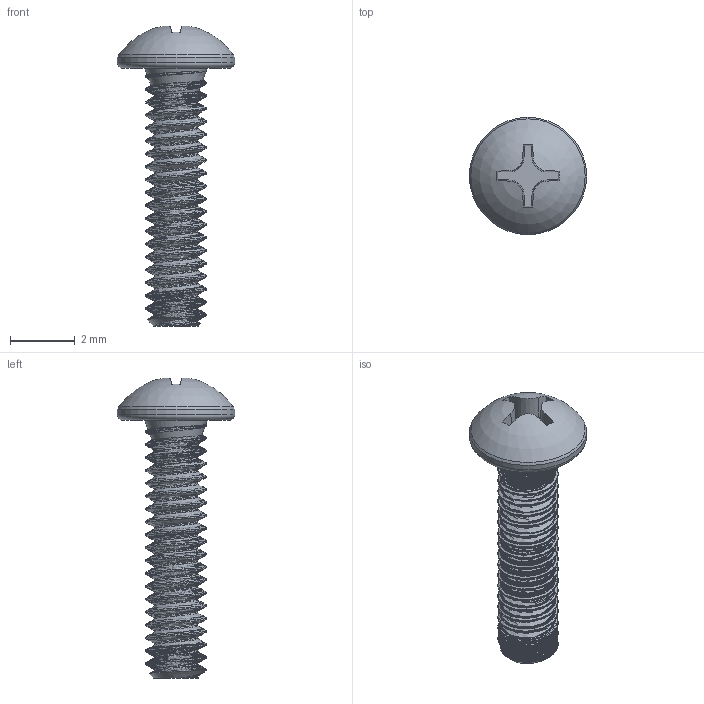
import cadquery as cq
import math


shank_length = 7.9375
major_radius = 0.927
thread_pitch = 25.4 / 64
flank_half_angle = math.radians(30)
crest_flat = thread_pitch / 8
root_flat = thread_pitch / 8
thread_depth = (thread_pitch - crest_flat - root_flat) / 2 / math.tan(flank_half_angle)
root_radius = major_radius - thread_depth
tip_radius = 0.69
crest_height_above_tip = 0.342
flank_points = 8
tip_z = -shank_length

neck_top_radius = 0.965
neck_length = 0.8

head_radius = 1.805
head_height = 1.337
rim_height = 0.42
rim_band_top = 0.34
rim_top_inset = 0.045
seat_fillet = 0.17

recess_half_span = 0.97
wing_width = 0.32
recess_corner_radius = 0.43
recess_depth = 0.85
recess_draft = 2.5


def make_head():
    """Domed head with a straight rim and a rounded lower edge."""
    dome_edge_radius = head_radius - rim_top_inset
    dome_rise = head_height - rim_height
    dome_radius = (dome_edge_radius**2 + dome_rise**2) / (2 * dome_rise)
    half_angle = math.asin(dome_edge_radius / dome_radius) / 2
    dome_centre_z = head_height - dome_radius
    dome_mid = (dome_radius * math.sin(half_angle), dome_centre_z + dome_radius * math.cos(half_angle))
    seat_radius = head_radius - seat_fillet
    fillet_mid = (
        seat_radius + seat_fillet * math.sin(math.pi / 4),
        seat_fillet * (1 - math.cos(math.pi / 4)),
    )
    return (
        cq.Workplane("XZ")
        .lineTo(seat_radius, 0)
        .threePointArc(fillet_mid, (head_radius, seat_fillet))
        .lineTo(head_radius, rim_band_top)
        .lineTo(dome_edge_radius, rim_height)
        .threePointArc(dome_mid, (0, head_height))
        .close()
        .revolve(360, (0, 0), (0, 1))
    )


def make_recess():
    """Tapered cross whose four inner corners are rounded."""
    span = 2 * recess_half_span
    inner_corners = cq.selectors.BoxSelector(
        (-wing_width, -wing_width, -wing_width), (wing_width, wing_width, wing_width)
    )
    cross = (
        cq.Sketch()
        .rect(span, wing_width)
        .rect(wing_width, span)
        .clean()
        .vertices(inner_corners)
        .fillet(recess_corner_radius)
    )
    return (
        cq.Workplane("XY")
        .workplane(offset=head_height)
        .placeSketch(cross)
        .extrude(-recess_depth, taper=recess_draft)
    )


def make_thread():
    """Right-handed thread, grown by twisting its cross-section along the shank.

    The cross-section runs round the crest arc, down one spiral flank, round the
    root arc and up the other spiral flank.
    """
    twist_degrees = 360 * shank_length / thread_pitch
    crest_angle = 2 * math.pi * crest_flat / thread_pitch
    root_angle = 2 * math.pi * root_flat / thread_pitch
    flank_angle = math.pi - (crest_angle + root_angle) / 2
    crest_direction = -2 * math.pi * crest_height_above_tip / thread_pitch

    def polar(radius, angle):
        direction = crest_direction + angle
        return (radius * math.cos(direction), radius * math.sin(direction))

    def falling_flank(t):
        return polar(major_radius - thread_depth * t, crest_angle / 2 + flank_angle * t)

    def rising_flank(t):
        return polar(root_radius + thread_depth * t, math.pi + root_angle / 2 + flank_angle * t)

    return (
        cq.Workplane("XY")
        .workplane(offset=tip_z)
        .moveTo(*polar(major_radius, -crest_angle / 2))
        .threePointArc(polar(major_radius, 0), polar(major_radius, crest_angle / 2))
        .parametricCurve(falling_flank, N=flank_points, makeWire=False)
        .moveTo(*polar(root_radius, math.pi - root_angle / 2))
        .threePointArc(polar(root_radius, math.pi), polar(root_radius, math.pi + root_angle / 2))
        .parametricCurve(rising_flank, N=flank_points, makeWire=False)
        .wire()
        .twistExtrude(shank_length, twist_degrees)
    )


def make_tip_envelope():
    """Plain shank with a chamfered tip, wider than the thread crest elsewhere."""
    clearance = 0.1
    envelope_radius = major_radius + clearance
    return (
        cq.Workplane("XZ")
        .moveTo(0, tip_z)
        .lineTo(tip_radius, tip_z)
        .lineTo(envelope_radius, tip_z + envelope_radius - tip_radius)
        .lineTo(envelope_radius, clearance)
        .lineTo(0, clearance)
        .close()
        .revolve(360, (0, 0), (0, 1))
    )


def make_neck():
    """Cone that narrows from the head seat down to the thread root."""
    return (
        cq.Workplane("XZ")
        .lineTo(neck_top_radius, 0)
        .lineTo(root_radius, -neck_length)
        .lineTo(0, -neck_length)
        .close()
        .revolve(360, (0, 0), (0, 1))
    )


head = make_head().cut(make_recess())
shank = make_thread().intersect(make_tip_envelope())
result = shank.union(make_neck()).union(head)